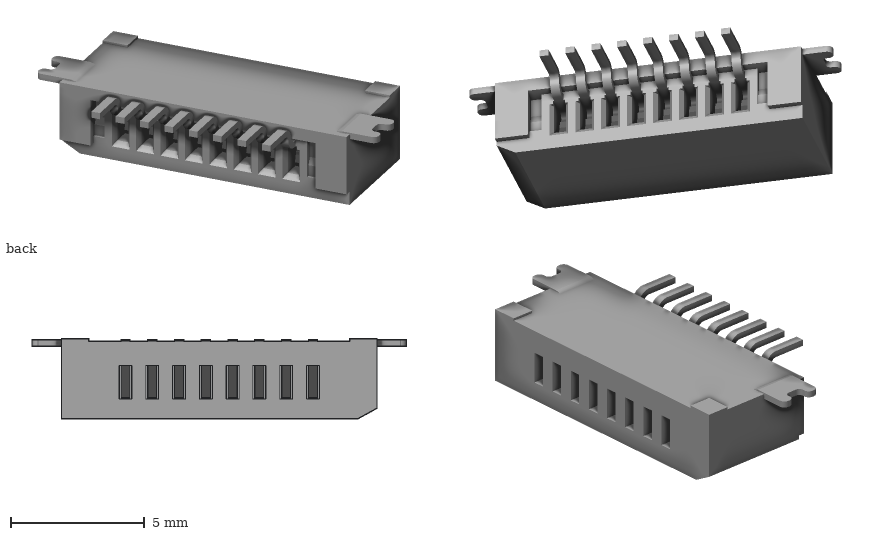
import cadquery as cq
import math

overall_width = 14.0
body_width = 11.79
body_depth = 4.82
body_height = 2.9
half_width = body_width / 2
key_chamfer_width = 0.71
key_chamfer_height = 0.39

pad_width = 1.02
pad_depth = 0.94
pad_height = 0.1

recess_depth = 0.27
lip_height = 0.55
recess_half_width = 4.62
recess_top_front = 2.41
recess_top_back = 2.32

end_slot_width = 0.46
end_slot_bottom = 0.83
end_slot_step_low = 1.26
end_slot_step_high = 1.55
end_slot_front_depth = 0.11
end_slot_back_depth = 0.22

contact_count = 8
contact_row_length = 7.0
contact_pitch = contact_row_length / (contact_count - 1)
contact_width = 0.35
sheet_thickness = 0.25
slot_width = 0.46
slot_bottom = 0.74
slot_top = 1.99
mouth_width = 0.73
mouth_top = 1.86
mouth_depth = slot_bottom - lip_height

solder_top = 2.95
tail_length = 1.99
foot_end_y = -0.63
bend_angle = math.radians(86)

throat_y = recess_depth + 0.84
throat_bottom = 1.53
body_back_y = throat_y + 0.63
nose_step = 0.04
nose_step_top = 1.39
nose_slope_top = 1.26
nose_tip_z = 0.97
nose_bottom = 0.78
nose_slope_run = 0.08

tab_front_y = 0.3
tab_width = 1.74
tab_overhang = (overall_width - body_width) / 2
tab_inset = 0.56
tab_bevel = 0.22
tab_notch_depth = 0.49
tab_notch_width = 0.73
tab_tip_radius = 0.22
tab_notch_radius = 0.18


def block(x_range, y_range, z_range):
    """Axis-aligned box between the given limits."""
    size = [high - low for low, high in (x_range, y_range, z_range)]
    corner = (x_range[0], y_range[0], z_range[0])
    return cq.Workplane("XY").box(*size, centered=False).translate(corner)


def side_profile(points, x_start, width):
    """Prism along X over an outline of (y, z) points."""
    return cq.Workplane("YZ", origin=(x_start, 0, 0)).polyline(points).close().extrude(width)


def make_housing():
    """Block with one chamfered lower edge and two rear pads."""
    outline = [
        (-half_width, key_chamfer_height),
        (-half_width + key_chamfer_width, 0),
        (half_width, 0),
        (half_width, body_height),
        (-half_width, body_height),
    ]
    housing = cq.Workplane("XZ").polyline(outline).close().extrude(-body_depth)
    pad = block(
        (-half_width, -half_width + pad_width),
        (body_depth - pad_depth, body_depth),
        (body_height, body_height + pad_height),
    )
    return housing.union(pad).union(pad.mirror("YZ"))


def make_recess():
    """Lip setback and the recess above it, with a sloping roof."""
    lip_setback = block((-half_width, half_width), (0, recess_depth), (0, lip_height))
    outline = [
        (0, lip_height),
        (recess_depth, lip_height),
        (recess_depth, recess_top_back),
        (0, recess_top_front),
    ]
    return lip_setback.union(side_profile(outline, -recess_half_width, 2 * recess_half_width))


def make_end_slot():
    """Left slot; its roof continues the slope of the recess roof."""
    front_y = recess_depth + end_slot_front_depth
    back_y = recess_depth + end_slot_back_depth
    roof_slope = (recess_top_front - recess_top_back) / recess_depth
    outline = [
        (0, end_slot_bottom),
        (front_y, end_slot_bottom),
        (front_y, end_slot_step_low),
        (back_y, end_slot_step_high),
        (back_y, recess_top_front - back_y * roof_slope),
        (0, recess_top_front),
    ]
    return side_profile(outline, -recess_half_width, end_slot_width)


def make_contact_slot():
    """Through slot with a mouth tapering in at the bottom and both sides."""
    through = block((-slot_width / 2, slot_width / 2), (0, body_depth), (slot_bottom, slot_top))
    mouth_height = mouth_top - lip_height
    throat_height = mouth_top - slot_bottom
    mouth = (
        cq.Workplane("XZ", origin=(0, recess_depth, 0))
        .center(0, mouth_top - mouth_height / 2)
        .rect(mouth_width, mouth_height)
        .workplane(offset=-mouth_depth)
        .center(0, (mouth_height - throat_height) / 2)
        .rect(slot_width, throat_height)
        .loft(ruled=True)
    )
    return through.union(mouth)


def make_tail():
    """Sheet strip swept from the foot tip, down the double bend, to the arm end."""
    foot_z = solder_top - sheet_thickness / 2
    arm_z = slot_top + sheet_thickness / 2
    bend_drop = (foot_z - arm_z) / 2
    bend_radius = bend_drop / (1 - math.cos(bend_angle))
    bend_run = bend_radius * math.sin(bend_angle)
    bend_meeting = (foot_end_y + bend_run, foot_z - bend_drop)
    arm_start = (foot_end_y + 2 * bend_run, arm_z)
    path = (
        cq.Workplane("YZ")
        .moveTo(-tail_length, foot_z)
        .lineTo(foot_end_y, foot_z)
        .tangentArcPoint(bend_meeting, relative=False)
        .tangentArcPoint(arm_start, relative=False)
        .lineTo(body_back_y, arm_z)
    )
    return (
        cq.Workplane("XZ", origin=(0, -tail_length, foot_z))
        .rect(contact_width, sheet_thickness)
        .sweep(path)
    )


def make_contact():
    """Solder tail and the spring body with its round throat and stepped nose."""
    throat_radius = (slot_top - throat_bottom) / 2
    nose_y = throat_y - nose_step
    spring_body = (
        cq.Workplane("YZ", origin=(-contact_width / 2, 0, 0))
        .moveTo(body_back_y, slot_top)
        .lineTo(throat_y, slot_top)
        .threePointArc((throat_y + throat_radius, slot_top - throat_radius), (throat_y, throat_bottom))
        .lineTo(throat_y, nose_step_top)
        .lineTo(nose_y, nose_step_top)
        .lineTo(nose_y, nose_slope_top)
        .lineTo(nose_y - nose_slope_run, nose_tip_z)
        .lineTo(nose_y, nose_bottom)
        .lineTo(body_back_y, nose_bottom)
        .close()
        .extrude(contact_width)
    )
    return make_tail().union(spring_body)


def make_tab():
    """Left tab: forked outer end, bevelled inner end."""
    outer_x = -half_width - tab_overhang
    inner_x = -half_width + tab_inset
    notch_x = outer_x + tab_notch_depth
    middle_y = tab_front_y + tab_width / 2
    tab_bottom = solder_top - sheet_thickness
    plate_outline = [
        (outer_x, tab_bottom),
        (inner_x, tab_bottom),
        (inner_x, body_height),
        (inner_x - tab_bevel, solder_top),
        (outer_x, solder_top),
    ]
    plate = (
        cq.Workplane("XZ", origin=(0, tab_front_y, 0))
        .polyline(plate_outline)
        .close()
        .extrude(-tab_width)
    )
    notch = block(
        (outer_x, notch_x),
        (middle_y - tab_notch_width / 2, middle_y + tab_notch_width / 2),
        (tab_bottom, solder_top),
    )
    notch = notch.edges("|Z and >X").fillet(tab_notch_radius)
    return plate.cut(notch).edges("|Z and <X").fillet(tab_tip_radius)


end_slot = make_end_slot()
contact_slot = make_contact_slot()
contact = make_contact()
tab = make_tab()
contact_positions = [
    (index - (contact_count - 1) / 2) * contact_pitch for index in range(contact_count)
]

result = make_housing().cut(make_recess()).cut(end_slot).cut(end_slot.mirror("YZ"))
for x in contact_positions:
    result = result.cut(contact_slot.translate((x, 0, 0)))
for x in contact_positions:
    result = result.union(contact.translate((x, 0, 0)))
result = result.union(tab).union(tab.mirror("YZ"))